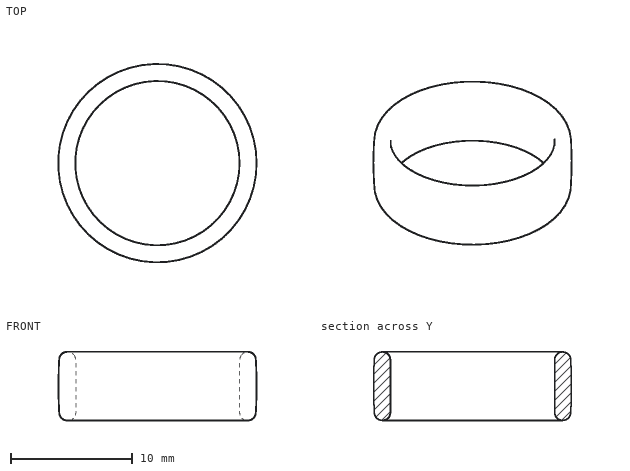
import cadquery as cq

outer_diameter = 16.29
bore_diameter = 13.45
height = 5.65
rim_height = 0.65
belly = 0.07

outer_radius = outer_diameter / 2
bore_radius = bore_diameter / 2
half_height = height / 2
shoulder_z = half_height - rim_height
shoulder_radius = outer_radius - belly
quarter_radius = outer_radius - belly / 4
crest_radius = (bore_radius + shoulder_radius) / 2

profile = (
    cq.Workplane("XZ")
    .moveTo(bore_radius, -shoulder_z)
    .threePointArc((crest_radius, -half_height), (shoulder_radius, -shoulder_z))
    .threePointArc((quarter_radius, -shoulder_z / 2), (outer_radius, 0))
    .threePointArc((quarter_radius, shoulder_z / 2), (shoulder_radius, shoulder_z))
    .threePointArc((crest_radius, half_height), (bore_radius, shoulder_z))
    .close()
)

result = profile.revolve(360, (0, 0, 0), (0, 1, 0))